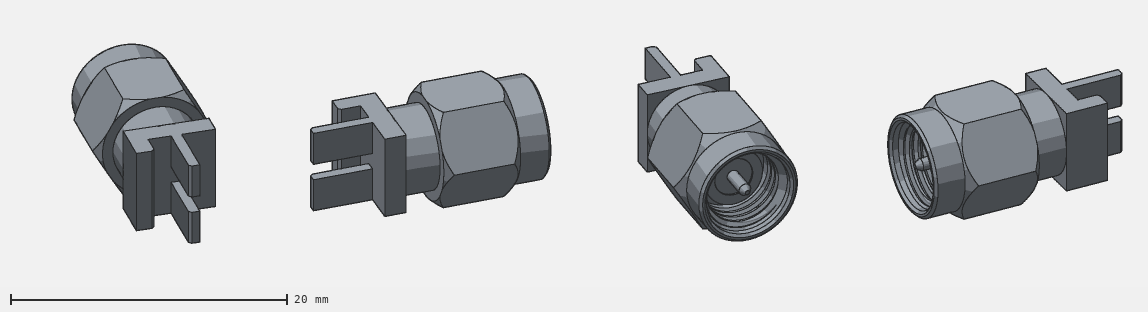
import cadquery as cq
import math


overall_length = 17.22

barrel_radius = 7.8 / 2
barrel_chamfer = 0.2
hex_start = 2.41
hex_end = 8.39
hex_across_flats = 8.0
hex_corner_radius = hex_across_flats / math.sqrt(3)
hex_rear_radius = 4.03

relief_radius = 3.3
mouth_chamfer = 0.2
relief_end = 0.67
thread_minor_radius = 2.8
thread_major_radius = 3.13
thread_pitch = 0.7
thread_root_width = 0.12
thread_flank_angle = 30.0
thread_start = 0.53
thread_turns = 4
thread_cut_overlap = 0.09
bore_floor = 3.79

shell_radius = 2.27
shell_front = 2.79
insulator_radius = 1.5
insulator_front = 2.95
pin_radius = 0.46
pin_tip_radius = 0.17
pin_tip = 0.31
pin_cone_end = 0.8

flange_start = 11.0
flange_end = 12.65
flange_side = 6.5
collar_radius = flange_side / 2

end_chamfer = 0.2
foot_end = 14.35
foot_thickness = 1.4
leg_front_y = -0.12
leg_thickness = 0.81
fork_gap = 1.3


def cylinder_along_x(start, end, radius):
    return cq.Workplane("YZ", origin=(start, 0, 0)).circle(radius).extrude(end - start)


def revolve_about_x(points):
    """Revolve an (x, radius) outline about the X axis."""
    return cq.Workplane("XY").polyline(points).close().revolve(360, (0, 0, 0), (1, 0, 0))


def make_nut():
    barrel = cylinder_along_x(0, hex_start, barrel_radius).faces("<X").chamfer(barrel_chamfer)
    hexagon = (
        cq.Workplane("YZ", origin=(hex_start, 0, 0))
        .polygon(6, 2 * hex_corner_radius)
        .extrude(hex_end - hex_start)
    )
    corner_trim = revolve_about_x([
        (hex_start, 0),
        (hex_start, barrel_radius),
        (hex_start + hex_corner_radius - barrel_radius, hex_corner_radius),
        (hex_end - hex_corner_radius + hex_rear_radius, hex_corner_radius),
        (hex_end, hex_rear_radius),
        (hex_end, 0),
    ])
    return barrel.union(hexagon.intersect(corner_trim))


def make_bore():
    return revolve_about_x([
        (0, 0),
        (0, relief_radius + mouth_chamfer),
        (mouth_chamfer, relief_radius),
        (relief_end, relief_radius),
        (relief_end + relief_radius - thread_minor_radius, thread_minor_radius),
        (bore_floor, thread_minor_radius),
        (bore_floor, 0),
    ])


def make_thread_groove():
    """Right-handed trapezoidal groove, swept up Z and then laid along X to start at the top."""
    inner_radius = thread_minor_radius - thread_cut_overlap
    root_half = thread_root_width / 2
    flank_run = (thread_major_radius - inner_radius) * math.tan(math.radians(thread_flank_angle))
    mouth_half = root_half + flank_run
    helix = cq.Wire.makeHelix(thread_pitch, thread_turns * thread_pitch, inner_radius)
    groove = (
        cq.Workplane("XZ")
        .polyline([
            (inner_radius, -mouth_half),
            (thread_major_radius, -root_half),
            (thread_major_radius, root_half),
            (inner_radius, mouth_half),
        ])
        .close()
        .sweep(cq.Workplane(obj=helix), isFrenet=True)
    )
    groove = groove.rotate((0, 0, 0), (0, 0, 1), 180)
    return groove.rotate((0, 0, 0), (0, 1, 0), 90).translate((thread_start, 0, 0))


def make_contact():
    shell = cylinder_along_x(shell_front, bore_floor, shell_radius)
    recess = cylinder_along_x(shell_front, insulator_front, insulator_radius)
    pin = revolve_about_x([
        (pin_tip, 0),
        (pin_tip, pin_tip_radius),
        (pin_cone_end, pin_radius),
        (bore_floor, pin_radius),
        (bore_floor, 0),
    ])
    return shell.cut(recess).union(pin)


def block(x_range, y_range):
    """Block of the flange's full height between the given X and Y limits."""
    length = x_range[1] - x_range[0]
    width = y_range[1] - y_range[0]
    corner = (x_range[0], y_range[0], -flange_side / 2)
    return cq.Workplane("XY", origin=corner).box(length, width, flange_side, centered=False)


def make_mount():
    flange_half = flange_side / 2
    collar = cylinder_along_x(hex_end, flange_start, collar_radius)
    flange = block((flange_start, flange_end), (-flange_half, flange_half))
    foot = block((flange_end, foot_end), (-flange_half, -flange_half + foot_thickness))
    foot = foot.edges(">X and >Y").chamfer(end_chamfer)
    leg = block((flange_end, overall_length), (leg_front_y, leg_front_y + leg_thickness))
    leg = leg.edges(">X and <Y").chamfer(end_chamfer)
    leg_length = overall_length - flange_end
    slot = (
        cq.Workplane("XY", origin=(flange_end, leg_front_y, -fork_gap / 2))
        .box(leg_length, leg_thickness, fork_gap, centered=False)
    )
    return collar.union(flange).union(foot).union(leg.cut(slot))


nut = make_nut().cut(make_bore()).cut(make_thread_groove())
result = nut.union(make_contact()).union(make_mount())